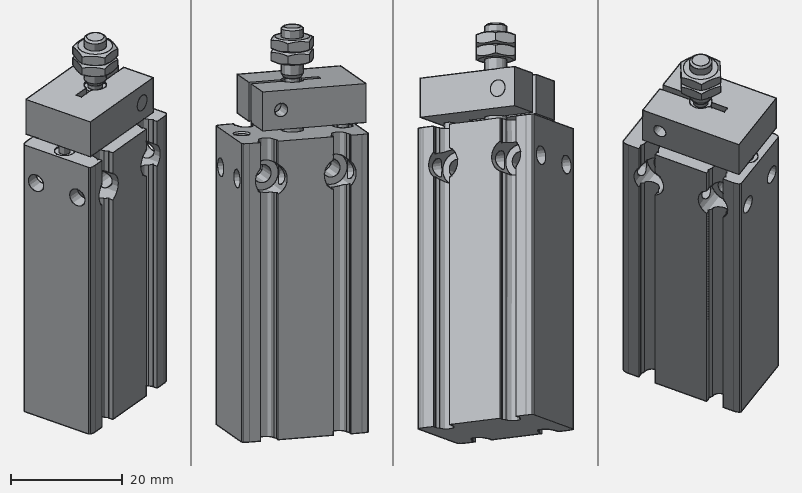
import cadquery as cq
import math


HOUSING_WIDTH = 15.0
HOUSING_DEPTH = 24.0
HOUSING_HEIGHT = 55.0
CORNER_LENGTH = 1.3
CORNER_ARC_INSET = 0.2
BEVEL_INSET = 0.5
BEVEL_LENGTH = 0.2

GROOVE_Y = 6.9
GROOVE_MOUTH_WIDTH = 3.3
GROOVE_MOUTH_DEPTH = 0.9
GROOVE_UNDERCUT_WIDTH = 3.6
GROOVE_FLOOR_DIAMETER = 2.8
GROOVE_FLOOR_DEPTH = 1.7

MOUNT_HOLE_DIAMETER = 3.3
MOUNT_HOLE_Z = HOUSING_HEIGHT - 7.0
FRONT_HOLE_X = 4.5
SIDE_HOLE_Y = 6.5
COUNTERBORE_DIAMETER = 6.0
COUNTERBORE_DEPTH = 5.0

TOP_BORE_Y = 9.55
PORT_DIAMETER = 2.45
PORT_MOUTH_DIAMETER = 3.0
PORT_DEPTH = 5.9
PIN_RECESS_DIAMETER = 3.6
PIN_RECESS_DEPTH = 0.2

PLATE_WIDTH = 14.1
PLATE_FRONT_Y = -11.55
PLATE_BACK_Y = 8.0
PLATE_BOTTOM_Z = HOUSING_HEIGHT + 2.0
PLATE_THICKNESS = 7.2
PLATE_TOP_Z = PLATE_BOTTOM_Z + PLATE_THICKNESS
SLOT_WIDTH = 1.2
SLOT_FRONT_Y = -5.1
GUIDE_PIN_DIAMETER = 2.0
GUIDE_PIN_INSERTION = 8.9

SCREW_DIAMETER = 3.0
SCREW_Y = 4.5
SCREW_Z = PLATE_BOTTOM_Z + PLATE_THICKNESS / 2
SCREW_HOLE_DIAMETER = 2.45
SCREW_HOLE_DEPTH = 3.7

ROD_DIAMETER = 4.0
ROD_INSERTION = 14.8
ROD_TOP_Z = 74.0
NECK_DIAMETER = 2.7
NECK_BOTTOM_Z = PLATE_TOP_Z - 0.4
NECK_TOP_Z = 64.7
THREAD_END_DIAMETER = 3.1
TIP_CHAMFER_HEIGHT = 0.4
THREAD_BOTTOM_Z = 65.4

NUT_FLATS = 7.0
NUT_HALF_SIDE_ANGLE = 30.0
NUT_HEIGHT = 2.3
NUT_COUNT = 2
NUT_STACK_BOTTOM_Z = 67.55
NUT_FACE_DIAMETER = 6.2
NUT_CHAMFER_ANGLE = 25.0


def cylinder_z(diameter, bottom, top, y=0):
    """Upright cylinder between two heights."""
    return cq.Workplane("XY", origin=(0, y, bottom)).circle(diameter / 2).extrude(top - bottom)


def cylinder_x(diameter, left, right, y, z):
    """Cylinder along X between two X positions."""
    return cq.Workplane("YZ", origin=(left, y, z)).circle(diameter / 2).extrude(right - left)


def cylinder_y(diameter, front, back, x, z):
    """Cylinder along Y between two Y positions."""
    return cq.Workplane("XZ", origin=(x, back, z)).circle(diameter / 2).extrude(back - front)


def box_between(x_range, y_range, z_range):
    """Box given by its lower and upper limit along each axis."""
    sizes = [high - low for low, high in (x_range, y_range, z_range)]
    corner = (x_range[0], y_range[0], z_range[0])
    return cq.Workplane("XY").box(*sizes, centered=False).translate(corner)


def housing_blank():
    """Extruded outline whose corners are arcs tangent to the side faces, ending in a bevel."""
    half_width = HOUSING_WIDTH / 2
    half_depth = HOUSING_DEPTH / 2
    side_y = half_depth - CORNER_LENGTH
    quarter = (
        cq.Workplane("XY")
        .lineTo(half_width, 0)
        .lineTo(half_width, side_y)
        .tangentArcPoint((half_width - CORNER_ARC_INSET, half_depth - BEVEL_LENGTH), relative=False)
        .lineTo(half_width - BEVEL_INSET, half_depth)
        .lineTo(0, half_depth)
        .close()
        .extrude(HOUSING_HEIGHT)
    )
    half = quarter.union(quarter.mirror("YZ"))
    return half.union(half.mirror("XZ")).clean()


def side_groove(side, y):
    """Cutter for one sensor groove: straight mouth, tapering undercut and half-round floor."""
    face_x = HOUSING_WIDTH / 2
    undercut_x = face_x - GROOVE_MOUTH_DEPTH
    floor_x = face_x - GROOVE_FLOOR_DEPTH
    mouth = GROOVE_MOUTH_WIDTH / 2
    undercut = GROOVE_UNDERCUT_WIDTH / 2
    floor = GROOVE_FLOOR_DIAMETER / 2
    groove = (
        cq.Workplane("XY", origin=(0, y, 0))
        .moveTo(face_x, -mouth)
        .lineTo(undercut_x, -mouth)
        .lineTo(undercut_x, -undercut)
        .lineTo(floor_x, -floor)
        .threePointArc((floor_x - floor, 0), (floor_x, floor))
        .lineTo(undercut_x, undercut)
        .lineTo(undercut_x, mouth)
        .lineTo(face_x, mouth)
        .close()
        .extrude(HOUSING_HEIGHT)
    )
    return groove if side > 0 else groove.mirror("YZ")


def port():
    """Cutter for the blind countersunk port behind the piston rod."""
    port_radius = PORT_DIAMETER / 2
    mouth_radius = PORT_MOUTH_DIAMETER / 2
    countersink_depth = mouth_radius - port_radius
    bottom = HOUSING_HEIGHT - PORT_DEPTH
    profile = (
        cq.Workplane("XZ")
        .moveTo(0, HOUSING_HEIGHT)
        .lineTo(mouth_radius, HOUSING_HEIGHT)
        .lineTo(port_radius, HOUSING_HEIGHT - countersink_depth)
        .lineTo(port_radius, bottom)
        .lineTo(0, bottom)
        .close()
    )
    return profile.revolve(360, (0, 0), (0, 1)).translate((0, TOP_BORE_Y, 0))


def guide_pin_bore():
    """Cutter for the guide pin bore with a shallow recess around its mouth."""
    bore_bottom = HOUSING_HEIGHT - GUIDE_PIN_INSERTION
    recess_bottom = HOUSING_HEIGHT - PIN_RECESS_DEPTH
    bore = cylinder_z(GUIDE_PIN_DIAMETER, bore_bottom, HOUSING_HEIGHT, -TOP_BORE_Y)
    recess = cylinder_z(PIN_RECESS_DIAMETER, recess_bottom, HOUSING_HEIGHT, -TOP_BORE_Y)
    return bore.union(recess)


def make_housing():
    """Cylinder housing with sensor grooves, mounting holes and top bores."""
    housing = housing_blank()
    half_width = HOUSING_WIDTH / 2
    half_depth = HOUSING_DEPTH / 2
    for side in (-1, 1):
        for row in (-1, 1):
            housing = housing.cut(side_groove(side, row * GROOVE_Y))
    for row in (-1, 1):
        y = row * SIDE_HOLE_Y
        inner_x = half_width - COUNTERBORE_DEPTH
        housing = housing.cut(cylinder_x(MOUNT_HOLE_DIAMETER, -half_width, half_width, y, MOUNT_HOLE_Z))
        housing = housing.cut(cylinder_x(COUNTERBORE_DIAMETER, -half_width, -inner_x, y, MOUNT_HOLE_Z))
        housing = housing.cut(cylinder_x(COUNTERBORE_DIAMETER, inner_x, half_width, y, MOUNT_HOLE_Z))
    for side in (-1, 1):
        x = side * FRONT_HOLE_X
        housing = housing.cut(cylinder_y(MOUNT_HOLE_DIAMETER, -half_depth, half_depth, x, MOUNT_HOLE_Z))
    housing = housing.cut(port()).cut(guide_pin_bore())
    return housing.cut(cylinder_z(ROD_DIAMETER, HOUSING_HEIGHT - ROD_INSERTION, HOUSING_HEIGHT))


def make_plate():
    """Slotted clamp plate with its fixed guide pin."""
    half_width = PLATE_WIDTH / 2
    height = (PLATE_BOTTOM_Z, PLATE_TOP_Z)
    plate = box_between((-half_width, half_width), (PLATE_FRONT_Y, PLATE_BACK_Y), height)
    slot = box_between((-SLOT_WIDTH / 2, SLOT_WIDTH / 2), (SLOT_FRONT_Y, PLATE_BACK_Y), height)
    screw_tip_x = -half_width + SCREW_HOLE_DEPTH
    plate = plate.cut(slot)
    plate = plate.cut(cylinder_z(ROD_DIAMETER, *height))
    plate = plate.cut(cylinder_x(SCREW_HOLE_DIAMETER, -half_width, screw_tip_x, SCREW_Y, SCREW_Z))
    plate = plate.cut(cylinder_x(SCREW_DIAMETER, screw_tip_x, half_width, SCREW_Y, SCREW_Z))
    guide_pin = cylinder_z(
        GUIDE_PIN_DIAMETER, HOUSING_HEIGHT - GUIDE_PIN_INSERTION, PLATE_BOTTOM_Z, -TOP_BORE_Y
    )
    return plate.union(guide_pin)


def make_clamp_screw():
    """Headless screw that bridges the plate slot."""
    screw_tip_x = -PLATE_WIDTH / 2 + SCREW_HOLE_DEPTH
    return cylinder_x(SCREW_DIAMETER, screw_tip_x, PLATE_WIDTH / 2, SCREW_Y, SCREW_Z)


def make_piston_rod():
    """Turned rod with a neck above the plate and a chamfered threaded end."""
    rod_radius = ROD_DIAMETER / 2
    neck_radius = NECK_DIAMETER / 2
    bottom = HOUSING_HEIGHT - ROD_INSERTION
    profile = (
        cq.Workplane("XZ")
        .moveTo(0, bottom)
        .lineTo(rod_radius, bottom)
        .lineTo(rod_radius, NECK_BOTTOM_Z)
        .lineTo(neck_radius, NECK_BOTTOM_Z)
        .lineTo(neck_radius, NECK_TOP_Z)
        .lineTo(THREAD_END_DIAMETER / 2, NECK_TOP_Z)
        .lineTo(rod_radius, THREAD_BOTTOM_Z)
        .lineTo(rod_radius, ROD_TOP_Z - TIP_CHAMFER_HEIGHT)
        .lineTo(THREAD_END_DIAMETER / 2, ROD_TOP_Z)
        .lineTo(0, ROD_TOP_Z)
        .close()
    )
    return profile.revolve(360, (0, 0), (0, 1))


def make_nut(bottom):
    """Hexagon nut with both faces chamfered, flats facing -X and +X."""
    corner_diameter = NUT_FLATS / math.cos(math.radians(NUT_HALF_SIDE_ANGLE))
    corner_radius = corner_diameter / 2
    face_radius = NUT_FACE_DIAMETER / 2
    chamfer_height = (corner_radius - face_radius) * math.tan(math.radians(NUT_CHAMFER_ANGLE))
    hexagon = cq.Workplane("XY").polygon(6, corner_diameter).extrude(NUT_HEIGHT)
    hexagon = hexagon.rotate((0, 0, 0), (0, 0, 1), NUT_HALF_SIDE_ANGLE)
    envelope = (
        cq.Workplane("XZ")
        .lineTo(face_radius, 0)
        .lineTo(corner_radius, chamfer_height)
        .lineTo(corner_radius, NUT_HEIGHT - chamfer_height)
        .lineTo(face_radius, NUT_HEIGHT)
        .lineTo(0, NUT_HEIGHT)
        .close()
        .revolve(360, (0, 0), (0, 1))
    )
    nut = hexagon.intersect(envelope).cut(cylinder_z(ROD_DIAMETER, 0, NUT_HEIGHT))
    return nut.translate((0, 0, bottom))


housing = make_housing()
plate = make_plate()
clamp_screw = make_clamp_screw()
piston_rod = make_piston_rod()
nuts = [make_nut(NUT_STACK_BOTTOM_Z + index * NUT_HEIGHT) for index in range(NUT_COUNT)]

result = cq.Compound.makeCompound(
    [housing.val(), plate.val(), clamp_screw.val(), piston_rod.val(), *[nut.val() for nut in nuts]]
)